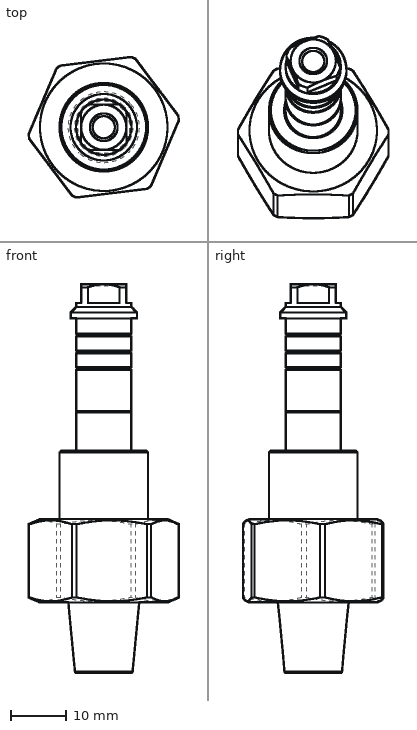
import cadquery as cq
import math

TOTAL_HEIGHT = 70.2
TAPER_LENGTH = 12.8
HEX_HEIGHT = 15.0
COLLAR_HEIGHT = 12.35
HEX_TOP = TAPER_LENGTH + HEX_HEIGHT
COLLAR_TOP = HEX_TOP + COLLAR_HEIGHT

TAPER_TOP_DIAMETER = 12.85
TAPER_END_DIAMETER = 10.4
TAPER_END_CHAMFER = 0.3
HEX_ACROSS_FLATS = 24.0
HEX_CORNER_DIAMETER = 27.25
HEX_FACE_DIAMETER = 23.0
HEX_CORNER_DROP = 0.9
HEX_TURN = 7.0
COLLAR_DIAMETER = 16.0
COLLAR_CHAMFER = 0.35

STEM_DIAMETER = 10.0
SEAT_CHAMFER = 0.3
SEAT_Z = COLLAR_TOP - SEAT_CHAMFER
SHORT_SEGMENT_HEIGHT = 3.0
SHORT_SEGMENT_COUNT = 3
LOWER_JOINT_Z = 47.2
WIDE_CHAMFER = 0.3
NARROW_CHAMFER = 0.15

FLANGE_BOTTOM = 64.0
FLANGE_DIAMETER = 12.0
FLANGE_RIM_HEIGHT = 1.05
FLANGE_CONE_HEIGHT = 1.05
SQUARE_BOTTOM = 66.8
SQUARE_WIDTH = 8.15
SQUARE_CORNER_DROP = 0.55
DIMPLE_TOP_DIAMETER = 5.0
DIMPLE_FLOOR_DIAMETER = 4.0
DIMPLE_DEPTH = 0.3

UPPER_JOINT_Z = FLANGE_BOTTOM - SHORT_SEGMENT_COUNT * SHORT_SEGMENT_HEIGHT


def revolve_profile(points):
    """Turn a closed (radius, z) outline about the Z axis."""
    return cq.Workplane("XZ").polyline(points).close().revolve(360, (0, 0), (0, 1))


def make_cone(bottom_diameter, top_diameter, bottom_z, height):
    return revolve_profile([
        (0, bottom_z),
        (bottom_diameter / 2, bottom_z),
        (top_diameter / 2, bottom_z + height),
        (0, bottom_z + height),
    ])


def make_cylinder(diameter, bottom_z, height):
    return cq.Workplane("XY").workplane(offset=bottom_z).circle(diameter / 2).extrude(height)


def make_hex():
    """Hexagon with rounded corners and a conical chamfer at both ends."""
    circumscribed_diameter = HEX_ACROSS_FLATS / math.cos(math.radians(30))
    prism = (
        cq.Workplane("XY").workplane(offset=TAPER_LENGTH)
        .polygon(6, circumscribed_diameter).extrude(HEX_HEIGHT)
        .rotate((0, 0, 0), (0, 0, 1), HEX_TURN)
    )
    envelope = revolve_profile([
        (0, TAPER_LENGTH),
        (HEX_FACE_DIAMETER / 2, TAPER_LENGTH),
        (HEX_CORNER_DIAMETER / 2, TAPER_LENGTH + HEX_CORNER_DROP),
        (HEX_CORNER_DIAMETER / 2, HEX_TOP - HEX_CORNER_DROP),
        (HEX_FACE_DIAMETER / 2, HEX_TOP),
        (0, HEX_TOP),
    ])
    return prism.intersect(envelope)


def make_housing():
    """Tapered nose, hexagon and round collar with a countersunk seat."""
    taper = make_cone(TAPER_END_DIAMETER, TAPER_TOP_DIAMETER, 0, TAPER_LENGTH)
    taper = taper.faces("<Z").chamfer(TAPER_END_CHAMFER)
    collar = make_cylinder(COLLAR_DIAMETER, HEX_TOP, COLLAR_HEIGHT)
    collar = collar.faces(">Z").chamfer(COLLAR_CHAMFER)
    seat_top_diameter = STEM_DIAMETER + 2 * SEAT_CHAMFER
    seat = make_cone(STEM_DIAMETER, seat_top_diameter, SEAT_Z, SEAT_CHAMFER)
    return taper.union(make_hex()).union(collar).cut(seat)


def make_segment(bottom_z, top_z, bottom_chamfer=0.0, top_chamfer=0.0):
    """Round stem segment; a zero chamfer leaves that end sharp."""
    segment = make_cylinder(STEM_DIAMETER, bottom_z, top_z - bottom_z)
    if bottom_chamfer:
        segment = segment.faces("<Z").chamfer(bottom_chamfer)
    if top_chamfer:
        segment = segment.faces(">Z").chamfer(top_chamfer)
    return segment


def make_short_segments():
    """Equal short segments under the flange; the top one meets it unchamfered."""
    segments = []
    for index in range(SHORT_SEGMENT_COUNT):
        bottom_z = UPPER_JOINT_Z + index * SHORT_SEGMENT_HEIGHT
        is_top = index == SHORT_SEGMENT_COUNT - 1
        top_chamfer = 0.0 if is_top else WIDE_CHAMFER
        segments.append(make_segment(bottom_z, bottom_z + SHORT_SEGMENT_HEIGHT, WIDE_CHAMFER, top_chamfer))
    return segments


def make_head():
    """Flanged head with a square drive and a shallow conical dimple."""
    rim = make_cylinder(FLANGE_DIAMETER, FLANGE_BOTTOM, FLANGE_RIM_HEIGHT)
    cone_bottom = FLANGE_BOTTOM + FLANGE_RIM_HEIGHT
    cone = make_cone(FLANGE_DIAMETER, STEM_DIAMETER, cone_bottom, FLANGE_CONE_HEIGHT)
    neck_bottom = cone_bottom + FLANGE_CONE_HEIGHT
    neck = make_cylinder(STEM_DIAMETER, neck_bottom, SQUARE_BOTTOM - neck_bottom)

    square_height = TOTAL_HEIGHT - SQUARE_BOTTOM
    square = (
        cq.Workplane("XY").workplane(offset=SQUARE_BOTTOM)
        .rect(SQUARE_WIDTH, SQUARE_WIDTH).extrude(square_height)
    )
    envelope = revolve_profile([
        (0, SQUARE_BOTTOM),
        (STEM_DIAMETER / 2, SQUARE_BOTTOM),
        (STEM_DIAMETER / 2, TOTAL_HEIGHT - SQUARE_CORNER_DROP),
        (SQUARE_WIDTH / 2, TOTAL_HEIGHT),
        (0, TOTAL_HEIGHT),
    ])
    square = square.intersect(envelope)

    dimple_floor = TOTAL_HEIGHT - DIMPLE_DEPTH
    dimple = make_cone(DIMPLE_FLOOR_DIAMETER, DIMPLE_TOP_DIAMETER, dimple_floor, DIMPLE_DEPTH)
    return rim.union(cone).union(neck).union(square).cut(dimple)


housing = make_housing()
base_segment = make_segment(SEAT_Z, LOWER_JOINT_Z, top_chamfer=NARROW_CHAMFER)
long_segment = make_segment(LOWER_JOINT_Z, UPPER_JOINT_Z, NARROW_CHAMFER, WIDE_CHAMFER)
short_segments = make_short_segments()
head = make_head()

result = cq.Compound.makeCompound([
    housing.val(),
    base_segment.val(),
    long_segment.val(),
    *[segment.val() for segment in short_segments],
    head.val(),
])